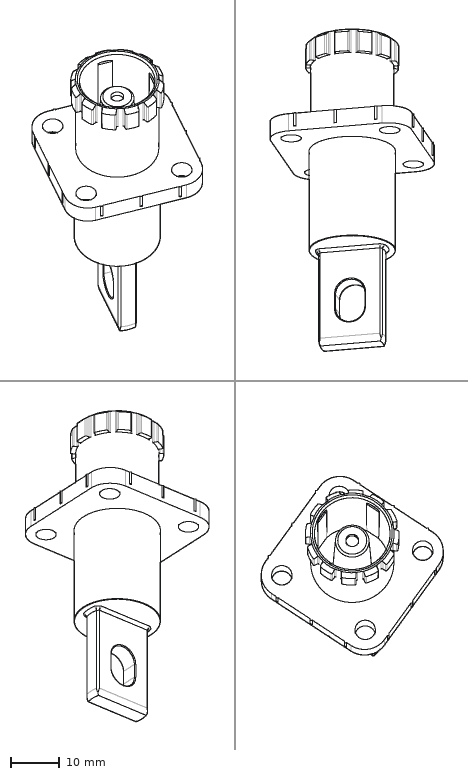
import cadquery as cq
import math

overall_height = 67.0
body_bottom = 21.2
flange_bottom = 43.15
flange_thickness = 3.8
flange_top = flange_bottom + flange_thickness

flange_side = 30.0
flange_corner_radius = 5.0
mount_hole_diameter = 4.2
mount_hole_spacing = 21.05
nub_protrusion = 0.2
nub_radius = 0.3
nub_height = 2.9
nub_pitch = 8.65

body_radius = 9.0
body_edge_chamfer = 0.1
socket_radius = 8.65
bore_chamfer = 0.5
bore_mouth_radius = 7.85
bore_floor_radius = 7.65
bore_floor = flange_top

tooth_count = 12
tooth_tip_radius = 9.7
tooth_width = 3.0
tooth_height = 5.15
tooth_bevel_height = 0.9
tooth_bevel_depth = 1.0
tooth_fillet = 0.3

key_count = 4
key_width = 3.2
key_face_distance = 7.5
key_top_bevel = 0.3
key_depth_below_rim = 2.0
key_top = overall_height - key_depth_below_rim

contact_base_radius = 3.95
contact_top_radius = 3.5
contact_chamfer = 0.5
contact_top = 62.0
contact_hole_radius = 1.35
contact_hole_depth = 1.0

lug_width = 14.0
lug_radius = lug_width / 2
lug_thickness = 4.0
lug_face_width = 12.7
lug_edge_bevel = 0.4
lug_tip_height = 1.6
lug_face_bevel_depth = 0.35
lug_flank_round_depth = 0.4
lug_collar_height = 0.7
lug_collar_angle = 45
lug_slot_width = 6.2
lug_slot_length = 9.3
lug_slot_height = 9.5
lug_slot_chamfer = 0.2


def cylinder(radius, bottom, top):
    return cq.Workplane("XY").workplane(offset=bottom).circle(radius).extrude(top - bottom)


def revolved(profile):
    """Solid turned about Z from (radius, height) points."""
    return cq.Workplane("XZ").polyline(profile).close().revolve(360, (0, 0), (0, 1))


def make_flange():
    flange = (
        cq.Workplane("XY")
        .workplane(offset=flange_bottom)
        .rect(flange_side, flange_side)
        .extrude(flange_thickness)
        .edges("|Z")
        .fillet(flange_corner_radius)
    )
    nub = cylinder(nub_radius, flange_top - nub_height, flange_top)
    nub_centre = flange_side / 2 + nub_protrusion - nub_radius
    for side in range(4):
        for offset in (-nub_pitch, 0, nub_pitch):
            placed = nub.translate((offset, nub_centre, 0))
            flange = flange.union(placed.rotate((0, 0, 0), (0, 0, 1), 90 * side))
    holes = (
        cq.Workplane("XY")
        .workplane(offset=flange_bottom)
        .rect(mount_hole_spacing, mount_hole_spacing, forConstruction=True)
        .vertices()
        .circle(mount_hole_diameter / 2)
        .extrude(flange_thickness)
    )
    return flange.cut(holes)


def make_toothed_rim():
    """Socket rim with straight-sided teeth, rounded at root and tip and bevelled at the top."""
    rim_bottom = overall_height - tooth_height
    rim = cylinder(socket_radius, rim_bottom, overall_height)
    tooth = (
        cq.Workplane("XY")
        .workplane(offset=rim_bottom)
        .center(tooth_tip_radius, 0)
        .rect(2 * tooth_tip_radius, tooth_width)
        .extrude(tooth_height)
    )
    for index in range(tooth_count):
        rim = rim.union(tooth.rotate((0, 0, 0), (0, 0, 1), 360 / tooth_count * index))
    rim = rim.intersect(cylinder(tooth_tip_radius, rim_bottom, overall_height))
    rim = rim.edges("|Z").fillet(tooth_fillet)
    envelope = revolved(
        [
            (0, rim_bottom),
            (tooth_tip_radius, rim_bottom),
            (tooth_tip_radius, overall_height - tooth_bevel_height),
            (tooth_tip_radius - tooth_bevel_depth, overall_height),
            (0, overall_height),
        ]
    )
    return rim.intersect(envelope)


def make_bore():
    return revolved(
        [
            (0, bore_floor),
            (bore_floor_radius, bore_floor),
            (bore_mouth_radius, overall_height - bore_chamfer),
            (bore_mouth_radius + bore_chamfer, overall_height),
            (0, overall_height),
        ]
    )


def make_keys():
    """Flat-faced strips along the bore wall with sloping tops."""
    key_back = (bore_mouth_radius + socket_radius) / 2
    key = (
        cq.Workplane("XZ")
        .moveTo(key_face_distance, bore_floor)
        .lineTo(key_back, bore_floor)
        .lineTo(key_back, key_top)
        .lineTo(key_face_distance + key_top_bevel, key_top)
        .lineTo(key_face_distance, key_top - key_top_bevel)
        .close()
        .extrude(key_width / 2, both=True)
    )
    keys = cq.Workplane("XY")
    for index in range(key_count):
        keys = keys.add(key.rotate((0, 0, 0), (0, 0, 1), 360 / key_count * index))
    return keys.combine()


def make_contact():
    contact = revolved(
        [
            (0, bore_floor),
            (contact_base_radius, bore_floor),
            (contact_top_radius, contact_top - contact_chamfer),
            (contact_top_radius - contact_chamfer, contact_top),
            (0, contact_top),
        ]
    )
    return contact.cut(
        cylinder(contact_hole_radius, contact_top - contact_hole_depth, contact_top)
    )


def lug_outline(height):
    """Lug cross-section: two flat faces, bevelled corners and rounded flanks."""
    half = lug_thickness / 2
    shoulder_y = half - lug_edge_bevel
    shoulder_x = math.sqrt(lug_radius**2 - shoulder_y**2)
    return (
        cq.Workplane("XY")
        .workplane(offset=height)
        .moveTo(-lug_face_width / 2, -half)
        .lineTo(lug_face_width / 2, -half)
        .lineTo(shoulder_x, -shoulder_y)
        .threePointArc((lug_radius, 0), (shoulder_x, shoulder_y))
        .lineTo(lug_face_width / 2, half)
        .lineTo(-lug_face_width / 2, half)
        .lineTo(-shoulder_x, shoulder_y)
        .threePointArc((-lug_radius, 0), (-shoulder_x, -shoulder_y))
        .close()
    )


def make_lug():
    """Lug with bevelled faces and rounded flanks at the tip, and a sloping collar at the body."""
    half = lug_thickness / 2
    wedge = (
        cq.Workplane("YZ")
        .moveTo(-half + lug_face_bevel_depth, 0)
        .lineTo(half - lug_face_bevel_depth, 0)
        .lineTo(half, lug_tip_height)
        .lineTo(half, body_bottom)
        .lineTo(-half, body_bottom)
        .lineTo(-half, lug_tip_height)
        .close()
        .extrude(lug_radius, both=True)
    )
    turned = (
        cq.Workplane("XZ")
        .moveTo(0, body_bottom)
        .lineTo(lug_radius, body_bottom)
        .lineTo(lug_radius, lug_tip_height)
        .tangentArcPoint((lug_radius - lug_flank_round_depth, 0), relative=False)
        .lineTo(0, 0)
        .close()
        .revolve(360, (0, 0), (0, 1))
    )
    shank = lug_outline(0).extrude(body_bottom).intersect(wedge).intersect(turned)
    collar = lug_outline(body_bottom - lug_collar_height).extrude(
        lug_collar_height, taper=-lug_collar_angle
    )
    return shank.union(collar)


def make_slot():
    """Cutter for the lug slot, flared at both faces to bevel the slot mouths."""
    half = lug_thickness / 2

    def slot_outline(y, widening):
        length = lug_slot_length + 2 * widening
        width = lug_slot_width + 2 * widening
        return cq.Workplane("XZ", origin=(0, y, lug_slot_height)).slot2D(length, width, 90)

    cutter = slot_outline(half, 0).extrude(lug_thickness)
    mouth = slot_outline(-half, lug_slot_chamfer).extrude(-lug_slot_chamfer, taper=45)
    return cutter.union(mouth).union(mouth.mirror("XZ"))


body = cylinder(body_radius, body_bottom, flange_bottom)
body = body.faces("<Z").chamfer(body_edge_chamfer)
socket = cylinder(socket_radius, flange_bottom, overall_height)

result = (
    body.union(make_flange())
    .union(socket)
    .union(make_toothed_rim())
    .cut(make_bore())
    .union(make_keys())
    .union(make_contact())
    .union(make_lug())
    .cut(make_slot())
)